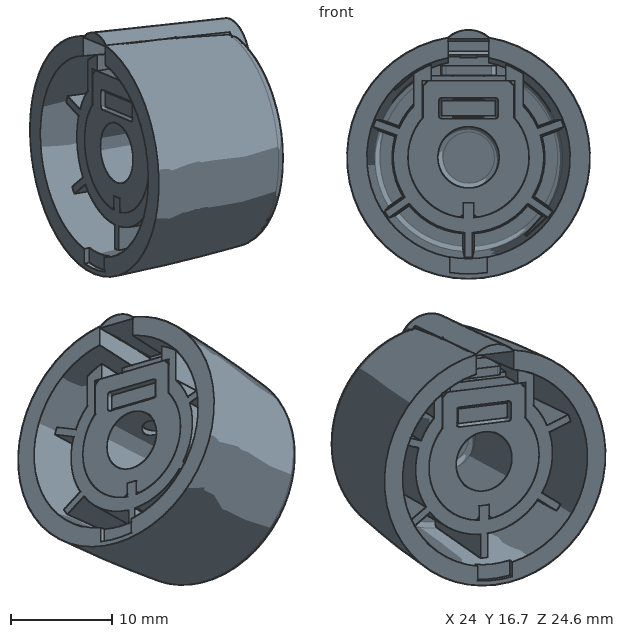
import cadquery as cq
import math


rim_radius = 12.0
mid_wall_radius = 11.63
shoulder_radius = 11.04
shoulder_y = 14.5
dome_edge_radius = 9.98
dome_top_y = 16.1
dome_sphere_radius = 98.32
cavity_rim_radius = 10.03
cavity_deep_radius = 9.27
cavity_depth = 13.03
cavity_fillet = 0.5

core_front_y = 2.6
sleeve_radius = 7.42
sleeve_half_width = 5.4
sleeve_top_z = 9.59
sleeve_draft = 0.6
rib_width = 0.75
rib_draft = 0.9
rib_pitch_angle = 55.0
rib_count = 5
rib_inner_radius = 6.64
rib_outer_radius = 10.08

hub_radius = 5.97
hub_half_width = 4.47
hub_top_z = 7.55
hub_corner_chamfer = 0.47
hub_side_gap = 0.07
shaft_radius = 3.02
shaft_hole_end_y = 11.8
shaft_hole_fillet = 0.5
key_width = 1.08
key_top_z = -4.5
key_mouth_chamfer = 0.3

nut_width = 5.3
nut_height = 1.5
nut_centre_z = 4.85
nut_recess = 0.32
nut_back_y = 8.85
pocket_mouth_margin = 0.27
pocket_corner_radius = 0.3

window_half_width = 3.66
window_floor_y = 7.87
ledge_height = 0.5
ledge_front_y = 5.4

screw_radius = 1.57
screw_y = 7.0
screw_tip_z = 3.2
head_width = 5.5
head_front_y = 4.42
head_back_y = 9.1
head_bottom_z = 8.1
head_height = 0.9
head_corner_radius = 0.5

nose_bottom_z = 9.93
nose_tip_z = 10.1
nose_top_z = 10.47
nose_reach = 0.25
nose_back_y = 8.35
nub_width = 1.62
nub_bottom_z = 9.8

pointer_radius = 3.02
pointer_half_width = 2.02
pointer_front_y = 0.1
pointer_front_crest_z = 12.58
pointer_back_crest_z = 11.82
pointer_back_y = 15.83
pointer_dome_y = 16.65
pointer_dome_z = 7.75
pointer_dome_radius = 10.08
pointer_underside_front_z = 11.68
pointer_underside_back_z = 11.45

notch_width = 3.74
notch_radius = 11.5
notch_depth = 0.6

pick_margin = 0.25


def plane_at(y):
    """Workplane at depth y whose normal is +Y and whose second axis is +Z."""
    return cq.Workplane(cq.Plane(origin=(0, y, 0), xDir=(-1, 0, 0), normal=(0, 1, 0)))


def block(half_width, y_start, y_end, z_low, z_high):
    """Box centred on x = 0."""
    size = (2 * half_width, y_end - y_start, z_high - z_low)
    return cq.Workplane("XY").box(*size, centered=(True, False, False)).translate((0, y_start, z_low))


def side_profile(points, half_width):
    """Prism along X, centred on x = 0, from an outline of (y, z) points."""
    return cq.Workplane("YZ").polyline(points).close().extrude(half_width, both=True)


def dome_y(radius):
    """Depth of the domed back at a distance from the knob axis."""
    sag = dome_sphere_radius - math.sqrt(dome_sphere_radius**2 - radius**2)
    return dome_top_y - sag


def revolve_about_axis(profile):
    return profile.close().revolve(360, (0, 0, 0), (0, 1, 0))


def make_outer_form():
    return revolve_about_axis(
        cq.Workplane("XY")
        .lineTo(rim_radius, 0)
        .threePointArc((mid_wall_radius, shoulder_y / 2), (shoulder_radius, shoulder_y))
        .tangentArcPoint((dome_edge_radius, dome_y(dome_edge_radius)), relative=False)
        .threePointArc((dome_edge_radius / 2, dome_y(dome_edge_radius / 2)), (0, dome_top_y))
    )


def make_cavity():
    return revolve_about_axis(
        cq.Workplane("XY")
        .lineTo(cavity_rim_radius, 0)
        .lineTo(cavity_deep_radius, cavity_depth - cavity_fillet)
        .tangentArcPoint((cavity_deep_radius - cavity_fillet, cavity_depth), relative=False)
        .lineTo(0, cavity_depth)
    )


def make_core():
    """Drafted sleeve with its two upper legs and the ribs that join it to the wall."""
    length = cavity_depth - core_front_y
    core = plane_at(core_front_y).circle(sleeve_radius).extrude(length, taper=-sleeve_draft)
    core = core.union(block(sleeve_half_width, core_front_y, cavity_depth, 0, sleeve_top_z))
    rib = (
        plane_at(core_front_y)
        .center((rib_inner_radius + rib_outer_radius) / 2, 0)
        .rect(rib_outer_radius - rib_inner_radius, rib_width)
        .extrude(length, taper=-rib_draft)
    )
    for index in range(rib_count):
        angle = (index - (rib_count - 1) / 2) * rib_pitch_angle - 90
        core = core.union(rib.rotate((0, 0, 0), (0, 1, 0), angle))
    return core


def make_hub_form(half_width):
    """Round hub with a straight-sided upper part, as deep as the cavity."""
    barrel = plane_at(core_front_y).circle(hub_radius).extrude(cavity_depth - core_front_y)
    return barrel.union(block(half_width, core_front_y, cavity_depth, 0, hub_top_z))


def make_key():
    """Key on the sleeve bore that stops the hub from turning."""
    return block(key_width / 2, core_front_y, cavity_depth, -sleeve_radius, key_top_z)


def make_window():
    """Opening above the hub; a low ledge and a latch nose stand out from its floor."""
    window = block(window_half_width, 0, window_floor_y, hub_top_z, cavity_rim_radius)
    ledge = block(window_half_width, ledge_front_y, window_floor_y, hub_top_z, hub_top_z + ledge_height)
    return window.cut(ledge).intersect(make_cavity())


def make_pointer_slot():
    """Slot through the wall in front of the latch nose, below the pointer."""
    return side_profile(
        [
            (0, hub_top_z + ledge_height),
            (window_floor_y, hub_top_z + ledge_height),
            (window_floor_y, nose_bottom_z),
            (window_floor_y - nose_reach, nose_tip_z),
            (nose_back_y, nose_top_z),
            (nose_back_y, pointer_front_crest_z),
            (0, pointer_front_crest_z),
        ],
        pointer_half_width,
    )


def make_notch():
    """Shallow round-bottomed notch in the rim, opposite the pointer."""
    disc = plane_at(0).circle(notch_radius).extrude(notch_depth)
    return disc.intersect(block(notch_width / 2, 0, notch_depth, -notch_radius, 0))


def make_pointer():
    """Tilted round bar: a strip along the wall that widens into a full disc on the back."""
    tilt = math.atan2(
        pointer_front_crest_z - pointer_back_crest_z, pointer_back_y - pointer_front_y
    )
    axis_at_front = cq.Vector(0, pointer_front_y, pointer_front_crest_z - pointer_radius)
    direction = cq.Vector(0, math.cos(tilt), -math.sin(tilt))
    overrun = pointer_radius
    bar = cq.Workplane(
        cq.Solid.makeCylinder(
            pointer_radius,
            pointer_dome_y + 2 * overrun,
            axis_at_front - direction * overrun,
            direction,
        )
    )
    strip = side_profile(
        [
            (pointer_front_y, pointer_underside_front_z),
            (nose_back_y, pointer_underside_back_z),
            (nose_back_y, nose_top_z),
            (shoulder_y, nose_top_z),
            (shoulder_y, pointer_front_crest_z),
            (pointer_front_y, pointer_front_crest_z),
        ],
        pointer_half_width,
    )
    disc_room = block(2 * pointer_radius, shoulder_y, pointer_dome_y, 0, pointer_front_crest_z)
    dome = cq.Workplane("XY").sphere(pointer_dome_radius)
    dome = dome.translate((0, pointer_dome_y - pointer_dome_radius, pointer_dome_z))
    disc = bar.intersect(disc_room).intersect(dome)
    return bar.intersect(strip).union(disc)


def make_nub():
    """Short wedge under the middle of the latch nose."""
    return side_profile(
        [
            (window_floor_y, nub_bottom_z),
            (window_floor_y - nose_reach, nose_tip_z),
            (window_floor_y, nose_tip_z),
        ],
        nub_width / 2,
    )


def make_shell(pointer, screw):
    """Housing with its sleeve, ribs and key, recessed for the other bodies."""
    wall = make_outer_form().cut(make_cavity())
    return (
        wall.union(make_core())
        .cut(make_hub_form(hub_half_width + hub_side_gap))
        .union(make_key())
        .cut(make_window())
        .cut(make_pointer_slot().cut(make_nub()))
        .cut(pointer)
        .cut(screw)
        .cut(make_notch())
    )


def make_shank(z_low, z_high):
    """Cylinder along the screw axis."""
    shank = cq.Workplane("XY").circle(screw_radius).extrude(z_high - z_low)
    return shank.translate((0, screw_y, z_low))


def make_screw():
    """Round shank under a flat head whose front corners are rounded."""
    head_top_z = head_bottom_z + head_height
    head = block(head_width / 2, head_front_y, head_back_y, head_bottom_z, head_top_z)
    head = head.faces("<Y").edges("|Z").fillet(head_corner_radius)
    return head.union(make_shank(screw_tip_z, head_bottom_z))


def make_nut(screw):
    low = nut_centre_z - nut_height / 2
    nut = block(nut_width / 2, core_front_y + nut_recess, nut_back_y, low, low + nut_height)
    return nut.cut(screw)


def make_nut_pocket():
    """Pocket that narrows from the hub face to the size of the nut at its back."""
    depth = nut_back_y - core_front_y
    draft = math.degrees(math.atan2(pocket_mouth_margin, depth))
    width = nut_width + 2 * pocket_mouth_margin
    height = nut_height + 2 * pocket_mouth_margin
    mouth = cq.Sketch().rect(width, height).vertices().fillet(pocket_corner_radius)
    return (
        plane_at(core_front_y)
        .center(0, nut_centre_z)
        .placeSketch(mouth)
        .extrude(depth, taper=draft)
    )


def make_hub(nut):
    """Hub with a blind shaft hole, a key slot, and room for the nut and screw."""
    corners = cq.selectors.BoxSelector(
        (-rim_radius, 0, hub_top_z - pick_margin), (rim_radius, cavity_depth, hub_top_z + pick_margin)
    )
    shaft_hole = (
        plane_at(core_front_y)
        .circle(shaft_radius)
        .extrude(shaft_hole_end_y - core_front_y)
        .faces(">Y")
        .edges()
        .fillet(shaft_hole_fillet)
    )
    mouth_z = -math.sqrt(hub_radius**2 - (key_width / 2) ** 2)
    mouth_edges = cq.selectors.BoxSelector(
        (-key_width, 0, mouth_z - pick_margin), (key_width, cavity_depth, mouth_z + pick_margin)
    )
    return (
        make_hub_form(hub_half_width)
        .edges("|Y")
        .edges(corners)
        .chamfer(hub_corner_chamfer)
        .cut(make_key())
        .edges("|Y")
        .edges(mouth_edges)
        .chamfer(key_mouth_chamfer)
        .cut(shaft_hole)
        .cut(make_nut_pocket())
        .cut(nut)
        .cut(make_shank(0, hub_top_z))
    )


pointer = make_pointer()
screw = make_screw()
shell = make_shell(pointer, screw)
nut = make_nut(screw)
hub = make_hub(nut)

result = cq.Compound.makeCompound(
    [shell.val(), pointer.val(), hub.val(), nut.val(), screw.val()]
)